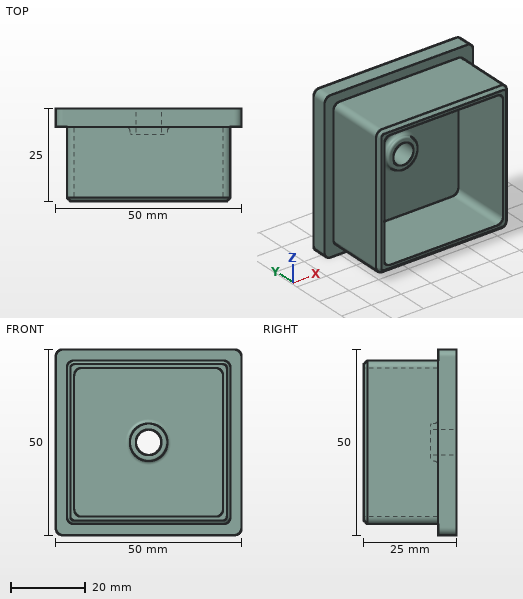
import cadquery as cq

flange_side = 50.0
flange_thickness = 5.0
corner_radius = 2.0

plug_inset = 3.0
plug_side = flange_side - 2 * plug_inset
plug_length = 20.0
rim_chamfer = 1.0
length = plug_length + flange_thickness

wall = 2.0
cavity_side = plug_side - 2 * wall
floor_thickness = 5.0

boss_diameter = 10.1
boss_height = 2.0
boss_base_fillet = 1.1
boss_top_fillet = 0.55

hole_diameter = 6.8


def square_block(side, start, end):
    """Square block with rounded corners, from Y = start to Y = end."""
    sketch = cq.Workplane("XZ", origin=(0, start, 0)).rect(side, side)
    return sketch.extrude(start - end).edges("|Y").fillet(corner_radius)


def floor_boss():
    """Round boss with a flared base and a rounded top edge, turned about the Y axis."""
    radius = boss_diameter / 2
    base = length - floor_thickness
    top = base - boss_height
    profile = (
        cq.Workplane("XY")
        .moveTo(0, base)
        .lineTo(radius + boss_base_fillet, base)
        .radiusArc((radius, base - boss_base_fillet), -boss_base_fillet)
        .lineTo(radius, top + boss_top_fillet)
        .radiusArc((radius - boss_top_fillet, top), boss_top_fillet)
        .lineTo(0, top)
        .close()
    )
    return profile.revolve(360, (0, 0, 0), (0, 1, 0))


flange = square_block(flange_side, plug_length, length)
plug = square_block(plug_side, 0, plug_length).faces("<Y").chamfer(rim_chamfer)
cavity = square_block(cavity_side, 0, length - floor_thickness)
hole = cq.Workplane("XZ").circle(hole_diameter / 2).extrude(-length)

result = flange.union(plug).cut(cavity).union(floor_boss()).cut(hole)